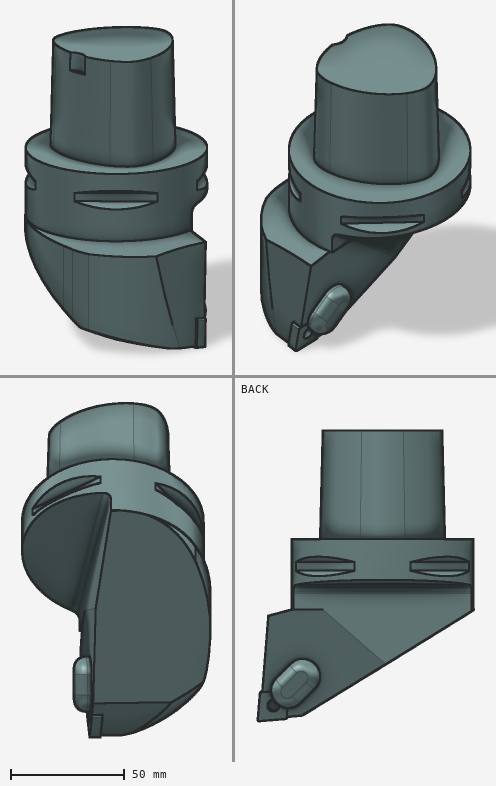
import cadquery as cq
import math


shank_height = 47.9
shank_radius = 27.5
shank_lobe = 2.2
shank_taper = 1 / 40
lobe_half_angle = 34
curve_points = 7
notch_radius = 6.9
notch_center_y = -29.0
notch_depth = 8.2

flange_radius = 80.0 / 2
flange_height = 31.0
groove_floor = 35.6
groove_z = -12.0
groove_floor_width = 3.7
groove_mouth_width = 8.6
groove_angles = (45, 135, 225, 315)

recess_y = 8.0
recess_rim_z = -17.9
recess_wall_z = -20.5
recess_fillet = 3.7

head_radius = 40.2
head_bottom = -89.6
head_reach = 57.6
head_front_y = -45.2
head_cone_slope = math.tan(math.radians(15))
blend_start = (-23.4, -32.8)
blend_end = (-21.1, -34.3)
front_mid = (-5.6, -42.0)
flat_start = (12.5, head_front_y)
flat_end = (18.3, head_front_y)
corner_mid = (22.5, -44.7)
side_start = (26.5, -43.6)
side_mid = (42.1, -31.9)
side_end = (54.7, -4.6)

slope_bottom = (35.3, 2.5, -77.7)
relief_corner = (31.5, -28.2, -74.8)
long_slope = ((-40.2, 8.0, -31.2), slope_bottom, (23.8, -44.4, -69.1))
bottom_relief = (relief_corner, slope_bottom, (53.5, 0.0, -79.4))
side_face = ((50.3, 5.8, -33.5), (48.3, -24.6, -34.7), (52.9, -11.5, -77.0))
relief_edge = ((26.5, -43.6, -69.0), (40.6, -33.4, -73.1), (50.7, -19.0, -77.3))
relief_slope = 0.35

tip = (55.0, 0.5, -80.3)
rake_x = -0.087
rake_z = 0.1
insert_side = 12.9
insert_half_angle = math.radians(40)
insert_thickness = 4.7
insert_nose = 0.8
insert_hole = 5.1

clamp_distance = 24.0
clamp_length = 24.3
clamp_width = 15.4
clamp_height = 6.7
clamp_round = 4.9

cutter_size = 192.0

rake_plane = cq.Plane(origin=tip, xDir=(-1, rake_z - rake_x, 1), normal=(-rake_x, 1, -rake_z))


def half_space(plane):
    """A large block on the positive side of a plane."""
    return cq.Workplane(plane).rect(cutter_size, cutter_size).extrude(cutter_size)


def outside_of(a, b, c):
    """A large block beyond the plane through three points, on the side away from the axis origin."""
    start, second, third = cq.Vector(*a), cq.Vector(*b), cq.Vector(*c)
    normal = (second - start).cross(third - start)
    if normal.dot(start) < 0:
        normal = -normal
    return half_space(cq.Plane(origin=a, xDir=(second - start).toTuple(), normal=normal.toTuple()))


def shank_point(radius, degrees, z):
    """Point of the three-lobed curve whose outward direction has the given angle."""
    angle = math.radians(degrees)
    support = radius - shank_lobe * math.sin(3 * angle)
    slope = -3 * shank_lobe * math.cos(3 * angle)
    x = support * math.cos(angle) - slope * math.sin(angle)
    y = support * math.sin(angle) + slope * math.cos(angle)
    return cq.Vector(x, y, z)


def shank_wire(radius, z):
    edges = []
    for lobe in (90, 210, 330):
        limits = (lobe - lobe_half_angle, lobe + lobe_half_angle, lobe + 120 - lobe_half_angle)
        for first, last in zip(limits, limits[1:]):
            step = (last - first) / (curve_points - 1)
            points = [shank_point(radius, first + step * i, z) for i in range(curve_points)]
            tangents = []
            for angle in (first, last):
                direction = math.radians(angle + 90)
                tangents.append(cq.Vector(math.cos(direction), math.sin(direction), 0))
            edges.append(cq.Edge.makeSpline(points, tangents=tangents))
    return cq.Wire.assembleEdges(edges)


def make_shank():
    top_radius = shank_radius - shank_taper * shank_height
    wires = [shank_wire(shank_radius, 0), shank_wire(top_radius, shank_height)]
    notch = (
        cq.Workplane(origin=(0, notch_center_y, shank_height))
        .circle(notch_radius)
        .extrude(-notch_depth)
    )
    return cq.Workplane(cq.Solid.makeLoft(wires, True)).cut(notch)


def make_groove(angle):
    slope = (groove_mouth_width - groove_floor_width) / 2 / (flange_radius - groove_floor)
    depth = 2 * (flange_radius - groove_floor)
    half_floor = groove_floor_width / 2
    half_mouth = half_floor + slope * depth
    return (
        cq.Workplane("XZ", origin=(groove_floor, 0, groove_z))
        .polyline([(0, -half_floor), (depth, -half_mouth), (depth, half_mouth), (0, half_floor)])
        .close()
        .extrude(flange_radius, both=True)
        .rotate((0, 0, 0), (0, 0, 1), angle)
    )


def make_flange():
    flange = cq.Workplane().circle(flange_radius).extrude(-flange_height)
    for angle in groove_angles:
        flange = flange.cut(make_groove(angle))
    return flange


def make_recess():
    """Space behind the head, with a sloping roof and a rounded inner corner."""
    roof_slope = (recess_rim_z - recess_wall_z) / (flange_radius - recess_y)
    outer_z = recess_wall_z + roof_slope * (head_reach - recess_y)
    return (
        cq.Workplane("YZ")
        .polyline([
            (recess_y, recess_wall_z),
            (head_reach, outer_z),
            (head_reach, head_bottom),
            (recess_y, head_bottom),
        ])
        .close()
        .extrude(cutter_size, both=True)
        .faces("<Y").edges(">Z")
        .fillet(recess_fillet)
    )


def make_head_blank():
    wall = (
        cq.Workplane()
        .moveTo(*blend_start)
        .lineTo(*blend_end)
        .threePointArc(front_mid, flat_start)
        .lineTo(*flat_end)
        .threePointArc(corner_mid, side_start)
        .threePointArc(side_mid, side_end)
        .lineTo(side_end[0], recess_y)
        .lineTo(blend_start[0], recess_y)
        .close()
        .extrude(head_bottom)
    )
    round_part = cq.Workplane().circle(head_radius).extrude(head_bottom)
    cone_drop = head_cone_slope * (cutter_size - flange_radius)
    under_cone = (
        cq.Workplane("XZ")
        .polyline([
            (0, -flange_height),
            (flange_radius, -flange_height),
            (cutter_size, -flange_height - cone_drop),
            (cutter_size, -cutter_size),
            (0, -cutter_size),
        ])
        .close()
        .revolve(360, (0, 0), (0, 1))
    )
    return wall.union(round_part).intersect(under_cone)


def make_relief_cutter():
    """Everything below a shallow cone whose base circle follows the lower edge of the side wall."""
    edge_start, edge_mid, edge_end = (cq.Vector(*point) for point in relief_edge)
    arc = cq.Edge.makeThreePointArc(edge_start, edge_mid, edge_end)
    down = (edge_mid - edge_start).cross(edge_end - edge_start).normalized()
    if down.z > 0:
        down = -down
    kept_cone = cq.Solid.makeCone(arc.radius(), 0, arc.radius() * relief_slope, arc.arcCenter(), down)
    return outside_of(*relief_edge).cut(cq.Workplane(kept_cone))


def trim_head(head):
    """Cut the flat faces, the conical relief and the rake face of the head."""
    for face in (long_slope, bottom_relief, side_face):
        head = head.cut(outside_of(*face))
    below_flange = (
        cq.Workplane(origin=(0, 0, -flange_height))
        .rect(cutter_size, cutter_size)
        .extrude(-cutter_size)
    )
    above_rake = half_space(rake_plane).intersect(below_flange)
    return head.cut(make_relief_cutter()).cut(above_rake)


def make_insert_block():
    half_diagonal = insert_side * math.cos(insert_half_angle)
    half_width = insert_side * math.sin(insert_half_angle)
    return (
        cq.Workplane(rake_plane)
        .polyline([(0, 0), (half_diagonal, half_width), (2 * half_diagonal, 0), (half_diagonal, -half_width)])
        .close()
        .extrude(-insert_thickness)
        .edges(cq.selectors.ParallelDirSelector(rake_plane.zDir))
        .fillet(insert_nose)
    )


def make_insert():
    half_diagonal = insert_side * math.cos(insert_half_angle)
    hole = (
        cq.Workplane(rake_plane)
        .center(half_diagonal, 0)
        .circle(insert_hole / 2)
        .extrude(-insert_thickness)
    )
    return make_insert_block().cut(hole)


def make_clamp():
    return (
        cq.Workplane(rake_plane)
        .center(clamp_distance, 0)
        .slot2D(clamp_length, clamp_width)
        .extrude(clamp_height)
        .faces(cq.selectors.DirectionMinMaxSelector(rake_plane.zDir, True))
        .edges()
        .fillet(clamp_round)
    )


def make_holder():
    head = trim_head(make_head_blank())
    holder = make_flange().union(head).cut(make_recess())
    holder = holder.union(make_shank()).union(make_clamp())
    return holder.cut(make_insert_block())


holder = make_holder()
insert = make_insert()

result = cq.Compound.makeCompound([holder.val(), insert.val()])